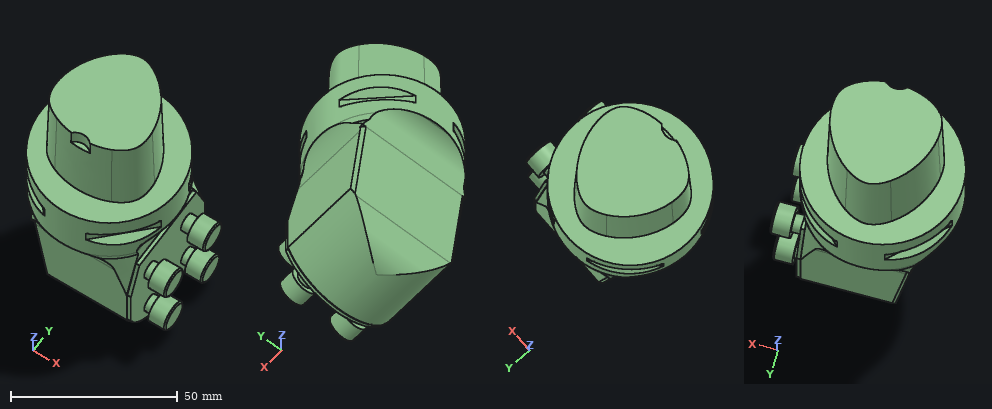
import cadquery as cq
import math

TOTAL_HEIGHT = 96.3

SHANK_HEIGHT = 29.95
SHANK_BASE_RADIUS = 17.6
SHANK_TAPER = 1 / 40
LOBE_HEIGHT = 1.3
FLAT_HALF_ANGLE = 24.0
NOTCH_RADIUS = 4.6
NOTCH_AXIS_Y = -18.6
NOTCH_DEPTH = 5.6

FLANGE_RADIUS = 50.0 / 2
FLANGE_BOTTOM = -19.8
GROOVE_FLAT_DISTANCE = 22.15
GROOVE_CENTER_Z = -9.9
GROOVE_FLOOR_WIDTH = 3.6
GROOVE_SIDE_ANGLE = 30.0
GROOVE_LENGTH = 38.5

BOTTOM_Z = SHANK_HEIGHT - TOTAL_HEIGHT
HEAD_HALF_WIDTH = 20.4
HEAD_RIGHT_X = 40.0 / 2
NECK_Z = -22.4
NECK_RADIUS = 24.5
CONE_SLOPE = 0.262
SIDE_FILLET_RADIUS = 8.0
SIDE_FILLET_Z = -27.0
SIDE_END_Z = -53.0
SLOPE_ANGLE = 9.5
SLOPE_TOP_X = -14.5
SLOPE_TOP_Z = -25.5
BACK_FILLET_RADIUS = 10.0
HEEL_RADIUS = 12.5
RELIEF_RADIUS = 6.0
CORNER_CHAMFER = 1.2

PLATE_RIGHT_X = 21.3
PLATE_INSET = 0.4
PLATE_TOP = -26.1
PLATE_TOP_HALF_WIDTH = 15.4
PLATE_CORNER_Z = -38.5
SCREW_SPACING = 19.8
UPPER_SCREW_Z = -36.2
SCREW_SHANK_DIAMETER = 6.0
SCREW_HEAD_DIAMETER = 10.0
HEAD_LENGTH = 6.2
HEAD_START_X = 24.1
RAISED_SCREW_OFFSET = 0.9
SCREW_CHAMFER = 0.5


def lobed_wire(mean_radius, z):
    """Closed three-lobed outline as alternating flat sides and lobes."""
    def point(degrees):
        a = math.radians(degrees)
        reach = mean_radius - LOBE_HEIGHT * math.sin(3 * a)
        drift = -3 * LOBE_HEIGHT * math.cos(3 * a)
        x = reach * math.cos(a) - drift * math.sin(a)
        y = reach * math.sin(a) + drift * math.cos(a)
        return cq.Vector(x, y, z)

    edges = []
    steps = 8
    for flat_middle in (30, 150, 270):
        flat_start = flat_middle - FLAT_HALF_ANGLE
        flat_end = flat_middle + FLAT_HALF_ANGLE
        for start, end in ((flat_start, flat_end), (flat_end, flat_start + 120)):
            points = [point(start + (end - start) * i / steps) for i in range(steps + 1)]
            edges.append(cq.Edge.makeSpline(points))
    return cq.Wire.assembleEdges(edges)


def make_shank():
    top_radius = SHANK_BASE_RADIUS - SHANK_HEIGHT * SHANK_TAPER
    wires = [lobed_wire(SHANK_BASE_RADIUS, 0), lobed_wire(top_radius, SHANK_HEIGHT)]
    shank = cq.Workplane(cq.Solid.makeLoft(wires, True))
    notch = (
        cq.Workplane("XY", origin=(0, NOTCH_AXIS_Y, SHANK_HEIGHT - NOTCH_DEPTH))
        .circle(NOTCH_RADIUS).extrude(NOTCH_DEPTH)
    )
    return shank.cut(notch)


def make_turned_blank():
    """Flange, short neck and widening cone, turned about the shank axis."""
    bottom_radius = NECK_RADIUS + CONE_SLOPE * (NECK_Z - BOTTOM_Z)
    return (
        cq.Workplane("XZ").lineTo(FLANGE_RADIUS, 0).lineTo(FLANGE_RADIUS, FLANGE_BOTTOM)
        .lineTo(NECK_RADIUS, NECK_Z).lineTo(bottom_radius, BOTTOM_Z).lineTo(0, BOTTOM_Z)
        .close().revolve(360, (0, 0, 0), (0, 1, 0))
    )


def slope_x(z):
    return SLOPE_TOP_X + (SLOPE_TOP_Z - z) * math.tan(math.radians(SLOPE_ANGLE))


def make_side_profile():
    """Prism along Y: sloped back with its fillet and heel, flat right face with its relief."""
    lean_cos = math.cos(math.radians(SLOPE_ANGLE))
    lean_sin = math.sin(math.radians(SLOPE_ANGLE))
    fillet_x = SLOPE_TOP_X - BACK_FILLET_RADIUS * lean_cos
    fillet_z = SLOPE_TOP_Z - BACK_FILLET_RADIUS * lean_sin
    half_turn = math.radians((90 + SLOPE_ANGLE) / 2)
    fillet_middle = (
        fillet_x + BACK_FILLET_RADIUS * math.cos(half_turn),
        fillet_z + BACK_FILLET_RADIUS * math.sin(half_turn),
    )
    heel_z = BOTTOM_Z + HEEL_RADIUS
    heel_start_z = heel_z - HEEL_RADIUS * lean_sin
    heel_x = slope_x(heel_start_z) + HEEL_RADIUS * lean_cos
    heel_turn = math.radians(SLOPE_ANGLE + (90 - SLOPE_ANGLE) / 2)
    heel_middle = (
        heel_x - HEEL_RADIUS * math.cos(heel_turn),
        heel_z - HEEL_RADIUS * math.sin(heel_turn),
    )
    relief_x = HEAD_RIGHT_X + RELIEF_RADIUS
    relief_middle = (
        relief_x - RELIEF_RADIUS * math.sqrt(0.5),
        FLANGE_BOTTOM + RELIEF_RADIUS * math.sqrt(0.5),
    )
    far_left = -2 * FLANGE_RADIUS
    return (
        cq.Workplane("XZ").moveTo(relief_x, 0).lineTo(far_left, 0)
        .lineTo(far_left, fillet_z + BACK_FILLET_RADIUS)
        .lineTo(fillet_x, fillet_z + BACK_FILLET_RADIUS)
        .threePointArc(fillet_middle, (SLOPE_TOP_X, SLOPE_TOP_Z))
        .lineTo(slope_x(heel_start_z), heel_start_z)
        .threePointArc(heel_middle, (heel_x, BOTTOM_Z))
        .lineTo(HEAD_RIGHT_X, BOTTOM_Z).lineTo(HEAD_RIGHT_X, FLANGE_BOTTOM)
        .threePointArc(relief_middle, (relief_x, FLANGE_BOTTOM + RELIEF_RADIUS))
        .close().extrude(2 * FLANGE_RADIUS, both=True)
    )


def make_width_profile():
    """Prism along X: flat sides with top fillets, and a rounded bottom."""
    fillet_y = HEAD_HALF_WIDTH + SIDE_FILLET_RADIUS
    fillet_top = SIDE_FILLET_Z + SIDE_FILLET_RADIUS
    middle_y = fillet_y - SIDE_FILLET_RADIUS * math.sqrt(0.5)
    middle_z = SIDE_FILLET_Z + SIDE_FILLET_RADIUS * math.sqrt(0.5)
    return (
        cq.Workplane("YZ").moveTo(-fillet_y, 0).lineTo(-fillet_y, fillet_top)
        .threePointArc((-middle_y, middle_z), (-HEAD_HALF_WIDTH, SIDE_FILLET_Z))
        .lineTo(-HEAD_HALF_WIDTH, SIDE_END_Z)
        .threePointArc((0, BOTTOM_Z), (HEAD_HALF_WIDTH, SIDE_END_Z))
        .lineTo(HEAD_HALF_WIDTH, SIDE_FILLET_Z)
        .threePointArc((middle_y, middle_z), (fillet_y, fillet_top))
        .lineTo(fillet_y, 0).close().extrude(2 * FLANGE_RADIUS, both=True)
    )


def make_corner_cutter(side):
    """Triangular bar along the edge between the sloped back and one flat side."""
    y = side * HEAD_HALF_WIDTH
    top = cq.Vector(SLOPE_TOP_X, y, SLOPE_TOP_Z)
    bottom = cq.Vector(slope_x(BOTTOM_Z), y, BOTTOM_Z)
    triangle = cq.Wire.makePolygon(
        [
            top + cq.Vector(-CORNER_CHAMFER, -side * 2 * CORNER_CHAMFER, 0),
            top + cq.Vector(2 * CORNER_CHAMFER, side * CORNER_CHAMFER, 0),
            top + cq.Vector(-CORNER_CHAMFER, side * CORNER_CHAMFER, 0),
        ],
        close=True,
    )
    return cq.Workplane(cq.Solid.extrudeLinear(triangle, [], bottom - top))


def make_groove_cutter(angle):
    """Trapezoidal bar that leaves a flat-floored groove in the flange rim."""
    depth = FLANGE_RADIUS - GROOVE_FLAT_DISTANCE
    floor_half = GROOVE_FLOOR_WIDTH / 2
    mouth_half = floor_half + depth * math.tan(math.radians(GROOVE_SIDE_ANGLE))
    return (
        cq.Workplane("XZ", origin=(0, 0, GROOVE_CENTER_Z))
        .polyline([
            (GROOVE_FLAT_DISTANCE, -floor_half), (FLANGE_RADIUS, -mouth_half),
            (FLANGE_RADIUS, mouth_half), (GROOVE_FLAT_DISTANCE, floor_half),
        ])
        .close().extrude(GROOVE_LENGTH / 2, both=True)
        .rotate((0, 0, 0), (0, 0, 1), angle)
    )


def make_plate():
    half_width = HEAD_HALF_WIDTH - PLATE_INSET
    return (
        cq.Workplane("YZ", origin=(HEAD_RIGHT_X, 0, 0))
        .moveTo(-PLATE_TOP_HALF_WIDTH, PLATE_TOP)
        .lineTo(-half_width, PLATE_CORNER_Z).lineTo(-half_width, SIDE_END_Z)
        .threePointArc((0, BOTTOM_Z + PLATE_INSET), (half_width, SIDE_END_Z))
        .lineTo(half_width, PLATE_CORNER_Z).lineTo(PLATE_TOP_HALF_WIDTH, PLATE_TOP)
        .close().extrude(PLATE_RIGHT_X - HEAD_RIGHT_X)
    )


def make_screw(y, z, head_x):
    shank = (
        cq.Workplane("YZ", origin=(HEAD_RIGHT_X, y, z))
        .circle(SCREW_SHANK_DIAMETER / 2).extrude(head_x - HEAD_RIGHT_X)
    )
    head = (
        cq.Workplane("YZ", origin=(head_x, y, z))
        .circle(SCREW_HEAD_DIAMETER / 2).extrude(HEAD_LENGTH)
        .faces(">X").chamfer(SCREW_CHAMFER)
    )
    return shank.union(head)


body = make_turned_blank().intersect(make_side_profile()).intersect(make_width_profile())
for side in (-1, 1):
    body = body.cut(make_corner_cutter(side))
for angle in (45, 135, 225, 315):
    body = body.cut(make_groove_cutter(angle))

result = body.union(make_shank()).union(make_plate())
for side in (-1, 1):
    for row in (0, 1):
        is_raised = side == 1 and row == 0
        head_x = HEAD_START_X + (RAISED_SCREW_OFFSET if is_raised else 0)
        screw_y = side * SCREW_SPACING / 2
        screw_z = UPPER_SCREW_Z - row * SCREW_SPACING
        result = result.union(make_screw(screw_y, screw_z, head_x))